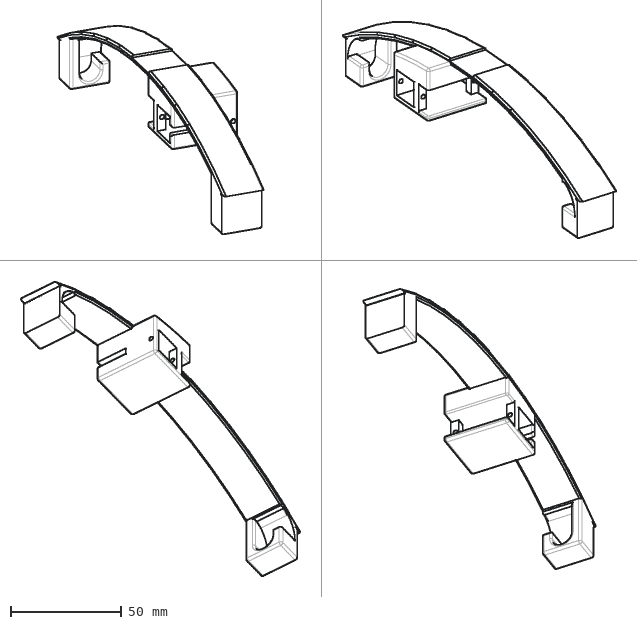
import cadquery as cq
import math

LENGTH = 195.0
WIDTH = 19.9
HEIGHT = 46.6
EDGE_ROUND = 1.2
MARGIN = 0.2

OUTER_RADIUS = 190.7
COVER_THICKNESS = 1.2
BASE_THICKNESS = 1.8
COVER_ROUND = 1.0
UNDERSIDE_ROUND = 0.8
GAP_HALF = 9.8
LEG_OVERLAP = BASE_THICKNESS / 2

BASE_RADIUS = OUTER_RADIUS - COVER_THICKNESS
INNER_RADIUS = BASE_RADIUS - BASE_THICKNESS
BOW_CENTRE_Z = HEIGHT - math.sqrt(OUTER_RADIUS**2 - GAP_HALF**2)
BASE_TOP = HEIGHT - COVER_THICKNESS
TIP_Z = BOW_CENTRE_Z + math.sqrt(OUTER_RADIUS**2 - (LENGTH / 2) ** 2)

LEG_OUTER_X = 94.4
LEG_DEPTH = 12.9
LEG_INNER_X = LEG_OUTER_X - LEG_DEPTH
PLATE_THICKNESS = 1.8
PLATE_BEND_RADIUS = 15.6
PLATE_BEND_Z = 10.5
PLATE_BEND_ANGLE = math.radians(61)
TROUGH_RADIUS = 5.0
TROUGH_CENTRE_Z = 7.6
LOW_WALL_Z = 11.3
TROUGH_ROUND = 1.0

BLOCK_LEFT = 8.4
BLOCK_RIGHT = 36.7
BLOCK_BOTTOM = 18.3
BLOCK_WIDTH = 32.5
BLOCK_TOP_RADIUS = math.hypot(BLOCK_LEFT, BASE_TOP - BOW_CENTRE_Z)
OPENING_BOTTOM = 21.0
OPENING_TOP = 34.1
WEB_LEFT = 15.6
WEB_THICKNESS = 4.0
WEB_WIDTH = 4.0
WEB_RIGHT = WEB_LEFT + WEB_THICKNESS
WALL_THICKNESS = 3.0
WALL_INNER_X = BLOCK_RIGHT - WALL_THICKNESS
OPENING_ROUND = 0.8
HOLE_DIAMETER = 2.1
HOLE_INSET = 2.3
HOLE_Z = (OPENING_BOTTOM + OPENING_TOP) / 2
SLOT_HEIGHT = 3.5
SLOT_DEPTH = BLOCK_WIDTH / 2


def box(x_range, y_range, z_range):
    """Box between the given lower and upper limits."""
    ranges = (x_range, y_range, z_range)
    sizes = [high - low for low, high in ranges]
    corner = [low for low, high in ranges]
    return cq.Workplane("XY").box(*sizes, centered=False).translate(corner)


def bow_cylinder(radius, width):
    """Cylinder along Y about the bow centre, from Y = 0 to the given width."""
    return cq.Workplane("XZ", origin=(0, 0, BOW_CENTRE_Z)).circle(radius).extrude(-width)


def arc_edges(body, radius):
    """The lengthwise edges of the given bow radius."""
    arcs = body.edges("%CIRCLE").vals()
    return body.newObject([edge for edge in arcs if abs(edge.radius() - radius) < MARGIN])


def make_base_layer():
    ring = bow_cylinder(BASE_RADIUS, WIDTH).cut(bow_cylinder(INNER_RADIUS, WIDTH))
    layer = ring.intersect(box((-LENGTH / 2, LENGTH / 2), (0, WIDTH), (TIP_Z, BASE_TOP)))
    return arc_edges(layer, INNER_RADIUS).fillet(UNDERSIDE_ROUND)


def make_right_cover():
    ring = bow_cylinder(OUTER_RADIUS, WIDTH).cut(bow_cylinder(BASE_RADIUS, WIDTH))
    cover = ring.intersect(box((GAP_HALF, LENGTH), (0, WIDTH), (TIP_Z, HEIGHT)))
    return arc_edges(cover, OUTER_RADIUS).fillet(COVER_ROUND)


def make_trough():
    """Clearance behind the outer plate, bounded by the bend between plate and strip."""
    plate_x = LEG_OUTER_X - PLATE_THICKNESS
    bend_centre_x = plate_x - PLATE_BEND_RADIUS

    def bend_point(angle):
        return (
            bend_centre_x + PLATE_BEND_RADIUS * math.cos(angle),
            PLATE_BEND_Z + PLATE_BEND_RADIUS * math.sin(angle),
        )

    bend_end = bend_point(PLATE_BEND_ANGLE)
    clearance = (
        cq.Workplane("XZ")
        .moveTo(LEG_INNER_X, 0)
        .lineTo(plate_x, 0)
        .lineTo(plate_x, PLATE_BEND_Z)
        .threePointArc(bend_point(PLATE_BEND_ANGLE / 2), bend_end)
        .lineTo(LEG_INNER_X, bend_end[1])
        .close()
        .extrude(-WIDTH)
    )
    trough_near_y = WIDTH / 2 - TROUGH_RADIUS
    trough_far_y = WIDTH / 2 + TROUGH_RADIUS
    section = (
        cq.Workplane("YZ")
        .moveTo(trough_near_y, HEIGHT)
        .lineTo(trough_near_y, TROUGH_CENTRE_Z)
        .threePointArc((WIDTH / 2, TROUGH_CENTRE_Z - TROUGH_RADIUS), (trough_far_y, TROUGH_CENTRE_Z))
        .lineTo(trough_far_y, LOW_WALL_Z)
        .lineTo(WIDTH, LOW_WALL_Z)
        .lineTo(WIDTH, HEIGHT)
        .close()
        .extrude(LENGTH)
    )
    return clearance.intersect(section)


def make_right_leg():
    block = box((LEG_INNER_X, LEG_OUTER_X), (0, WIDTH), (0, HEIGHT))
    block = block.edges("|Z and <X").fillet(EDGE_ROUND)
    block = block.faces("<Z").edges("not(>X)").fillet(EDGE_ROUND)
    leg = block.intersect(bow_cylinder(INNER_RADIUS + LEG_OVERLAP, WIDTH)).cut(make_trough())
    mouth_edges = cq.selectors.BoxSelector(
        (LEG_INNER_X - MARGIN, EDGE_ROUND, EDGE_ROUND),
        (LEG_INNER_X + MARGIN, WIDTH, LOW_WALL_Z + MARGIN),
    )
    return leg.edges(mouth_edges).fillet(TROUGH_ROUND)


def make_handle():
    handle = make_base_layer()
    for right_part in (make_right_cover(), make_right_leg()):
        handle = handle.union(right_part).union(right_part.mirror("YZ"))
    return handle


def make_openings():
    """Side mouth and window, joined between the webs that stand at the front and back."""
    z_range = (OPENING_BOTTOM, OPENING_TOP)
    full_width = (0, BLOCK_WIDTH)
    mouth = box((0, WEB_LEFT), full_width, z_range)
    window = box((WEB_RIGHT, WALL_INNER_X), full_width, z_range)
    between_webs = box((WEB_LEFT, WEB_RIGHT), (WEB_WIDTH, BLOCK_WIDTH - WEB_WIDTH), z_range)
    return mouth.union(window).union(between_webs)


def make_pin_hole(y, end_x):
    hole = cq.Workplane("YZ", origin=(WEB_LEFT, y, HOLE_Z)).circle(HOLE_DIAMETER / 2)
    return hole.extrude(end_x - WEB_LEFT)


def make_wall_slot():
    """Slot in the right wall, flared by rounded corners where it meets the front face."""
    half = SLOT_HEIGHT / 2
    offset = EDGE_ROUND * (1 - math.sqrt(0.5))
    wide = half + EDGE_ROUND
    return (
        cq.Workplane("YZ", origin=(WALL_INNER_X, 0, HOLE_Z))
        .moveTo(0, -wide)
        .threePointArc((offset, -half - offset), (EDGE_ROUND, -half))
        .lineTo(SLOT_DEPTH, -half)
        .lineTo(SLOT_DEPTH, half)
        .lineTo(EDGE_ROUND, half)
        .threePointArc((offset, half + offset), (0, wide))
        .close()
        .extrude(WALL_THICKNESS)
    )


def make_window_rounding():
    """Corner strip whose removal rounds the front edge of the right wall beside the window."""
    offset = OPENING_ROUND * (1 - math.sqrt(0.5))
    return (
        cq.Workplane("XY", origin=(WALL_INNER_X, 0, OPENING_BOTTOM))
        .lineTo(OPENING_ROUND, 0)
        .threePointArc((offset, offset), (0, OPENING_ROUND))
        .close()
        .extrude(OPENING_TOP - OPENING_BOTTOM)
    )


def make_block(handle):
    outer = box((BLOCK_LEFT, BLOCK_RIGHT), (0, BLOCK_WIDTH), (BLOCK_BOTTOM, HEIGHT))
    outer = outer.intersect(bow_cylinder(BLOCK_TOP_RADIUS, BLOCK_WIDTH))
    outer = outer.edges().fillet(EDGE_ROUND)
    block = outer.cut(make_openings())
    mouth_edges = cq.selectors.BoxSelector(
        (BLOCK_LEFT - MARGIN, EDGE_ROUND, OPENING_BOTTOM - MARGIN),
        (BLOCK_LEFT + MARGIN, BLOCK_WIDTH, OPENING_TOP + MARGIN),
    )
    block = block.edges(mouth_edges).edges("|Y").fillet(OPENING_ROUND)
    block = block.cut(make_pin_hole(HOLE_INSET, WEB_RIGHT))
    block = block.cut(make_pin_hole(BLOCK_WIDTH - HOLE_INSET, BLOCK_RIGHT))
    block = block.cut(make_wall_slot())
    block = block.cut(make_window_rounding())
    return block.cut(handle)


handle = make_handle()
block = make_block(handle)
result = cq.Compound.makeCompound([handle.val(), block.val()])